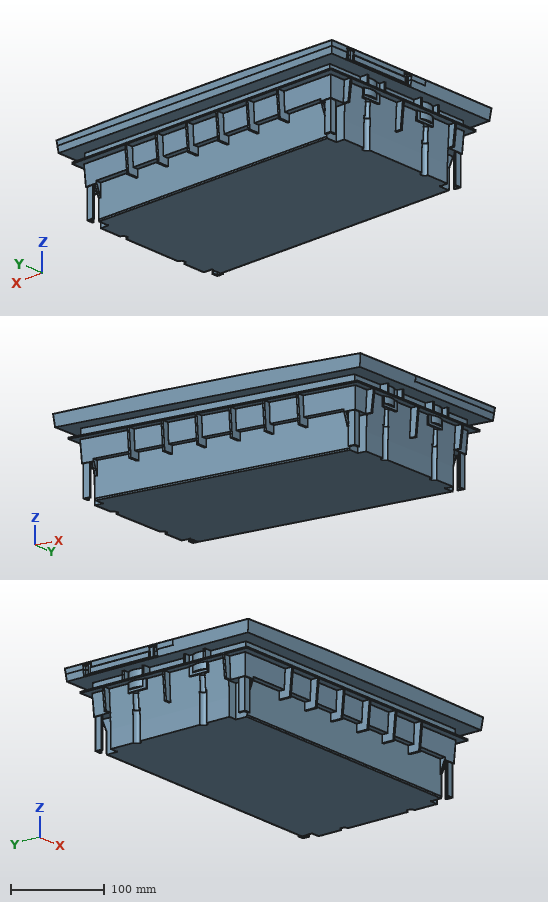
import cadquery as cq

LENGTH = 402.0
DEPTH = 252.5
HEIGHT = 97.5
CROWN = 2.5
LID_FLARE = 1.5
LID_Z = 80.5

DOOR_FRONT_Y = -22.0
DOOR_Z = 89.0
HINGE_CENTRES_Y = (5.2, 96.0)
HINGE_WIDTH = 10.5
HINGE_REACH = 5.0
HINGE_Z = 82.0
HINGE_TOP_Z = 93.5
KNUCKLE_WIDTH = 4.5
FLAP_THICKNESS = 2.5

COLLAR_HALF_X = 179.0
COLLAR_HALF_Y = 105.5
FLANGE_HALF_X = 189.0
FLANGE_HALF_Y = 114.5
FLANGE_Z = 68.0
FLANGE_THICKNESS = 1.5
WALL_HALF_X = 180.0
WALL_HALF_Y = 105.5
DRAFT_END_Z = 22.0
DRAFT_INSET = 2.5
LONG_PANEL_HALF_Y = 97.0
LONG_PANEL_HALF_X = 163.5
LONG_PANEL_TOP_Z = 44.2
BOTTOM_BEVEL = (1.0, 2.0)

CORNER_Z = 41.5
CORNER_X = 166.5
CORNER_Y = 81.5
POST_OUTER_X = 177.5
POST_OUTER_Y = 103.0
POST_SIZE = 8.5
POST_THICKNESS = 2.0
POST_Z = 2.5
GUSSET_Z = 27.0

RIB_THICKNESS = 2.5
RIB_TAPER = 3.2
RIB_FOOT_Z = 34.5
LONG_RIB_PITCH = 44.2
LONG_RIB_COUNT = 6
END_RIB_SPACING = 83.0

BOSS_Y = 42.2
BOSS_HALF_WIDTH = 12.5
BOSS_X = 181.5
BOSS_BULGE_Y = 44.2
BOSS_BULGE_HALF_WIDTH = 9.5
BOSS_BULGE = 2.5
BOSS_Z = 56.5
BOSS_BULGE_Z = 60.0
CHEEK_X = 188.5
CHEEK_THICKNESS = 2.5
GROOVE_Y = 46.0
GROOVE_WIDTH = 7.5
LOWER_GROOVE_WIDTH = 9.5
LOWER_GROOVE_Z = 37.5


def block(x_range, y_range, z_range):
    """Box between two limits on each axis."""
    size = [high - low for low, high in (x_range, y_range, z_range)]
    corner = (x_range[0], y_range[0], z_range[0])
    return cq.Workplane(obj=cq.Solid.makeBox(*size, cq.Vector(*corner)))


def slab(half_x, half_y, bottom, top):
    """Box centred on the Z axis."""
    return block((-half_x, half_x), (-half_y, half_y), (bottom, top))


def on_both_ends(shape):
    return shape.union(shape.mirror("YZ"))


def on_both_sides(shape):
    return shape.union(shape.mirror("XZ"))


def on_four_corners(shape):
    return on_both_ends(on_both_sides(shape))


def lid_blank():
    """Whole lid with its flared sides and its crowned top."""
    half_x = LENGTH / 2
    edge_z = HEIGHT - CROWN
    flared = (
        cq.Workplane("XY", origin=(0, 0, LID_Z))
        .rect(LENGTH - 2 * LID_FLARE, DEPTH - 2 * LID_FLARE)
        .workplane(offset=edge_z - LID_Z)
        .rect(LENGTH, DEPTH)
        .loft(ruled=True)
    )
    crown = (
        cq.Workplane("XZ", origin=(0, DEPTH / 2, 0))
        .moveTo(half_x, edge_z)
        .threePointArc((0, HEIGHT), (-half_x, edge_z))
        .close()
        .extrude(DEPTH)
    )
    return flared.union(crown)


def door_space():
    """Room that the door takes out of the lid."""
    return block((-LENGTH, LENGTH), (DOOR_FRONT_Y, DEPTH), (DOOR_Z, 2 * HEIGHT))


def hinge_notches():
    end_x = -LENGTH / 2
    notches = cq.Workplane()
    for centre in HINGE_CENTRES_Y:
        y_range = (centre - HINGE_WIDTH / 2, centre + HINGE_WIDTH / 2)
        notches = notches.add(block((end_x, end_x + HINGE_REACH), y_range, (HINGE_Z, HINGE_TOP_Z)))
    return notches.combine()


def hinge_knuckles():
    """Door knuckles, each filling the side of its notch that faces the other hinge."""
    x_range = (-LENGTH / 2 + LID_FLARE, -LENGTH / 2 + HINGE_REACH)
    front, rear = HINGE_CENTRES_Y
    front_edge = front + HINGE_WIDTH / 2
    rear_edge = rear - HINGE_WIDTH / 2
    z_range = (HINGE_Z, HINGE_TOP_Z)
    knuckles = block(x_range, (front_edge - KNUCKLE_WIDTH, front_edge), z_range)
    return knuckles.union(block(x_range, (rear_edge, rear_edge + KNUCKLE_WIDTH), z_range))


def hinge_flap():
    """Strip hanging from the door between its hinges."""
    front, rear = HINGE_CENTRES_Y
    y_range = (front + HINGE_WIDTH / 2, rear - HINGE_WIDTH / 2)
    return block((-LENGTH / 2, -LENGTH / 2 + FLAP_THICKNESS), y_range, (HINGE_Z, DOOR_Z))


def make_door():
    plate = lid_blank().intersect(door_space()).cut(hinge_notches())
    return plate.union(hinge_flap()).union(hinge_knuckles())


def box_core():
    """Drafted box with recessed long sides and open corners."""
    core = (
        cq.Workplane("XY", origin=(0, 0, FLANGE_Z))
        .rect(2 * WALL_HALF_X, 2 * WALL_HALF_Y)
        .workplane(offset=DRAFT_END_Z - FLANGE_Z)
        .rect(2 * (WALL_HALF_X - DRAFT_INSET), 2 * (WALL_HALF_Y - DRAFT_INSET))
        .loft(ruled=True)
    )
    core = core.union(slab(WALL_HALF_X - DRAFT_INSET, LONG_PANEL_HALF_Y, 0, DRAFT_END_Z))
    outside_y = (LONG_PANEL_HALF_Y, DEPTH)
    panel = block((-LONG_PANEL_HALF_X, LONG_PANEL_HALF_X), outside_y, (0, LONG_PANEL_TOP_Z))
    below_corners = block((-LENGTH, LENGTH), outside_y, (0, CORNER_Z))
    corner = block((CORNER_X, LENGTH), (CORNER_Y, DEPTH), (0, CORNER_Z))
    core = core.cut(on_both_sides(panel.union(below_corners))).cut(on_four_corners(corner))
    return core.cut(bottom_bevels())


def bottom_bevels():
    inset, height = BOTTOM_BEVEL
    bevel = (
        cq.Workplane("YZ", origin=(-CORNER_X, 0, 0))
        .moveTo(LONG_PANEL_HALF_Y - inset, 0)
        .lineTo(LONG_PANEL_HALF_Y, 0)
        .lineTo(LONG_PANEL_HALF_Y, height)
        .close()
        .extrude(2 * CORNER_X)
    )
    return on_both_sides(bevel)


def corner_posts():
    """Posts of angle section hanging from the corner blocks."""
    post = block(
        (POST_OUTER_X - POST_SIZE, POST_OUTER_X),
        (POST_OUTER_Y - POST_SIZE, POST_OUTER_Y),
        (POST_Z, CORNER_Z),
    )
    inside = post.translate((-POST_THICKNESS, -POST_THICKNESS, 0))
    return on_four_corners(post.cut(inside))


def corner_gussets():
    """Thin triangular plates under the corner blocks, beside the long panels."""
    gusset = (
        cq.Workplane("YZ", origin=(LONG_PANEL_HALF_X, 0, 0))
        .moveTo(LONG_PANEL_HALF_Y, GUSSET_Z)
        .lineTo(POST_OUTER_Y, CORNER_Z)
        .lineTo(LONG_PANEL_HALF_Y, CORNER_Z)
        .close()
        .extrude(CORNER_X - LONG_PANEL_HALF_X)
    )
    return on_four_corners(gusset)


def rib(plane, inner, outer, foot_z):
    """Tapered upright rib, centred on its plane."""
    return (
        cq.Workplane(plane)
        .moveTo(inner, FLANGE_Z)
        .lineTo(outer, FLANGE_Z)
        .lineTo(outer - RIB_TAPER, foot_z)
        .lineTo(inner, foot_z)
        .close()
        .extrude(RIB_THICKNESS / 2, both=True)
    )


def ribs():
    long_rib = on_both_sides(rib("YZ", LONG_PANEL_HALF_Y, FLANGE_HALF_Y, RIB_FOOT_Z))
    every_rib = cq.Workplane()
    for index in range(LONG_RIB_COUNT):
        x = (index - (LONG_RIB_COUNT - 1) / 2) * LONG_RIB_PITCH
        every_rib = every_rib.add(long_rib.translate((x, 0, 0)))
    end_rib_feet = {-END_RIB_SPACING: CORNER_Z, 0: RIB_FOOT_Z, END_RIB_SPACING: CORNER_Z}
    for y, foot_z in end_rib_feet.items():
        end_rib = on_both_ends(rib("XZ", WALL_HALF_X - DRAFT_INSET, FLANGE_HALF_X, foot_z))
        every_rib = every_rib.add(end_rib.translate((0, y, 0)))
    return every_rib.combine()


def end_bosses():
    """Rounded bosses on the box ends, with two cheeks each above the flange."""
    inner_x = WALL_HALF_X - DRAFT_INSET
    y_low = BOSS_Y - BOSS_HALF_WIDTH
    y_high = BOSS_Y + BOSS_HALF_WIDTH
    boss = block((inner_x, BOSS_X), (y_low, y_high), (BOSS_Z, LID_Z))
    bulge_low = BOSS_BULGE_Y - BOSS_BULGE_HALF_WIDTH
    bulge_high = BOSS_BULGE_Y + BOSS_BULGE_HALF_WIDTH
    bulge = (
        cq.Workplane("XY", origin=(0, 0, BOSS_BULGE_Z))
        .moveTo(BOSS_X, bulge_low)
        .threePointArc((BOSS_X + BOSS_BULGE, BOSS_BULGE_Y), (BOSS_X, bulge_high))
        .close()
        .extrude(LID_Z - BOSS_BULGE_Z)
    )
    boss = boss.union(bulge)
    for cheek_y in (y_low - CHEEK_THICKNESS, y_high):
        y_range = (cheek_y, cheek_y + CHEEK_THICKNESS)
        boss = boss.union(block((inner_x, CHEEK_X), y_range, (FLANGE_Z, LID_Z)))
    return on_four_corners(boss)


def end_grooves():
    """Round upright grooves below the bosses, wider at the bottom."""
    axis_x = WALL_HALF_X - DRAFT_INSET
    groove = (
        cq.Workplane("XY").center(axis_x, GROOVE_Y).circle(GROOVE_WIDTH / 2).extrude(BOSS_Z)
    )
    lower = (
        cq.Workplane("XY").center(axis_x, GROOVE_Y).circle(LOWER_GROOVE_WIDTH / 2)
        .extrude(LOWER_GROOVE_Z)
    )
    return on_four_corners(groove.union(lower))


def make_frame():
    """Fixed part of the lid, around and under the door."""
    frame = lid_blank().cut(door_space()).cut(hinge_notches())
    return frame.cut(hinge_flap())


def make_housing():
    box = box_core().union(slab(COLLAR_HALF_X, COLLAR_HALF_Y, FLANGE_Z, LID_Z))
    flange_top = FLANGE_Z + FLANGE_THICKNESS
    box = box.union(slab(FLANGE_HALF_X, FLANGE_HALF_Y, FLANGE_Z, flange_top))
    box = box.cut(end_grooves()).union(end_bosses()).union(ribs())
    box = box.union(corner_posts()).union(corner_gussets())
    return box.union(make_frame())


housing = make_housing()
door = make_door()
result = cq.Compound.makeCompound([housing.val(), door.val()])